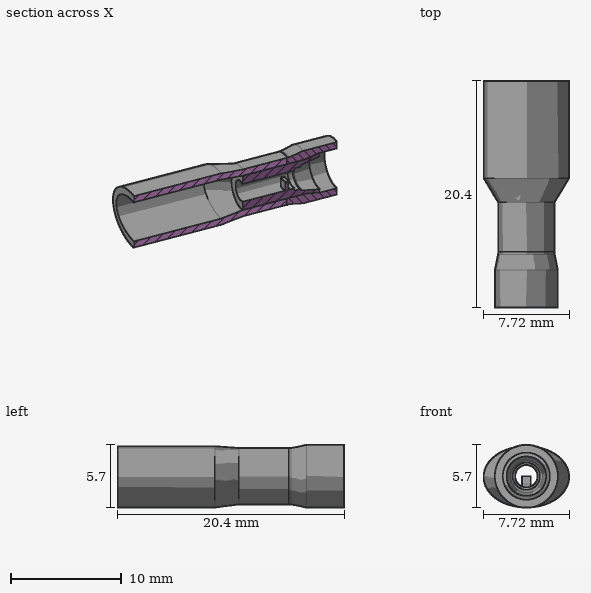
import cadquery as cq
import math


total_length = 20.45
collar_straight_end = 3.41
collar_taper_end = 4.82
collar_end = 5.0
neck_end = 9.5
transition_end = 11.67

wall = 0.72
collar_radius = 2.85
neck_radius = 2.55
rear_half_width = 3.86
rear_half_height = 2.78
rear_drop = collar_radius - rear_half_height

barrel_radius = neck_radius - wall
barrel_wall = 0.35
flare_start = 1.78
flare_radius = collar_radius - wall
flare_angle = math.atan2(collar_radius - neck_radius, collar_taper_end - collar_straight_end)
cone_small_radius = 1.43
throat_radius = 1.23
throat_length = 0.61
wire_bore_radius = 1.0

stop_width = 0.82
stop_thickness = 0.35
stop_bend_radius = 0.3
stop_setback = 0.61

flare_lip_radius = flare_radius - barrel_wall * math.cos(flare_angle)
flare_lip_start = flare_start - barrel_wall * math.sin(flare_angle)
flare_outer_end = flare_start + (flare_radius - barrel_radius) / math.tan(flare_angle)
cone_end = flare_lip_start + (flare_lip_radius - cone_small_radius) / math.tan(flare_angle)
throat_rounding = cone_small_radius - throat_radius
throat_start = cone_end + throat_rounding
shoulder = throat_start + throat_length


def revolve_about_y(profile):
    """Turn a closed (radius, Y) profile into a solid about the Y axis."""
    return profile.close().revolve(360, (0, 0, 0), (0, 1, 0))


def cross_section(half_width, half_height, drop, start):
    """Elliptical wire across the axis at Y = start, its centre lowered by drop."""
    plane = cq.Plane(origin=(0, start, -drop), xDir=(1, 0, 0), normal=(0, 1, 0))
    return cq.Workplane(plane).ellipse(half_width, half_height)


def sleeve_core(inset, neck_start):
    """Solid round neck widening into the elliptical rear, with every section shrunk by inset."""
    neck = neck_radius - inset
    half_width = rear_half_width - inset
    half_height = rear_half_height - inset
    neck_part = cross_section(neck, neck, 0, neck_start).extrude(neck_end - neck_start)
    transition_ends = [
        cross_section(neck, neck, 0, neck_end).wire().val(),
        cross_section(half_width, half_height, rear_drop, transition_end).wire().val(),
    ]
    transition = cq.Workplane(cq.Solid.makeLoft(transition_ends, True))
    rear = cross_section(half_width, half_height, rear_drop, transition_end).extrude(
        total_length - transition_end
    )
    return neck_part.union(transition).union(rear)


def make_sleeve():
    """Thin-walled rear insulation, open at both ends."""
    return sleeve_core(0, collar_end).cut(sleeve_core(wall, collar_end))


def make_collar():
    """Mouth of the insulation, tapering down to the neck and seated on the flared barrel."""
    profile = (
        cq.Workplane("XY")
        .moveTo(flare_radius, 0)
        .lineTo(collar_radius, 0)
        .lineTo(collar_radius, collar_straight_end)
        .lineTo(neck_radius, collar_taper_end)
        .lineTo(neck_radius, collar_end)
        .lineTo(barrel_radius, collar_end)
        .lineTo(barrel_radius, flare_outer_end)
        .lineTo(flare_radius, flare_start)
    )
    return revolve_about_y(profile)


def make_barrel():
    """Barrel with a flared mouth, a rounded throat, a stepped bore and a wire stop."""
    profile = (
        cq.Workplane("XY")
        .moveTo(flare_radius, flare_start)
        .lineTo(flare_lip_radius, flare_lip_start)
        .lineTo(cone_small_radius, cone_end)
        .radiusArc((throat_radius, throat_start), -throat_rounding)
        .lineTo(throat_radius, shoulder)
        .lineTo(wire_bore_radius, shoulder)
        .lineTo(wire_bore_radius, neck_end)
        .lineTo(barrel_radius, neck_end)
        .lineTo(barrel_radius, flare_outer_end)
    )
    return revolve_about_y(profile).union(make_wire_stop())


def make_wire_stop():
    """Upright tab rising from the bore floor to the axis, curved into the floor in front."""
    root = -(wire_bore_radius + barrel_radius) / 2
    front = shoulder + stop_setback
    return (
        cq.Workplane("YZ")
        .moveTo(front + stop_thickness, root)
        .lineTo(front + stop_thickness, 0)
        .lineTo(front, 0)
        .lineTo(front, stop_bend_radius - wire_bore_radius)
        .radiusArc((front - stop_bend_radius, -wire_bore_radius), stop_bend_radius)
        .lineTo(front - stop_bend_radius, root)
        .close()
        .extrude(stop_width / 2, both=True)
    )


sleeve = make_sleeve().solids()
collar = make_collar().solids()
barrel = make_barrel().solids()

result = cq.Compound.makeCompound([sleeve.val(), collar.val(), barrel.val()])